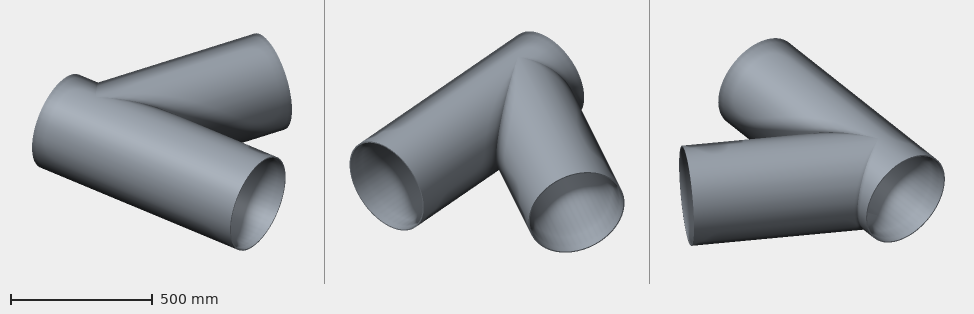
import cadquery as cq
import math

outer_diameter = 355.5
inner_diameter = 346.0
main_length = 838.0
overall_depth = 861.0
branch_angle = 60.0
junction_x = 151.5

outer_radius = outer_diameter / 2
angle = math.radians(branch_angle)
branch_length = (overall_depth - outer_radius - outer_radius * math.cos(angle)) / math.sin(angle)

main_start = cq.Vector(0, 0, 0)
main_direction = cq.Vector(1, 0, 0)
junction = cq.Vector(junction_x, 0, 0)
branch_direction = cq.Vector(math.cos(angle), math.sin(angle), 0)


def pipe_cylinder(diameter, length, start, direction):
    """Solid cylinder along a pipe axis."""
    return cq.Workplane(cq.Solid.makeCylinder(diameter / 2, length, start, direction))


def branched_body(diameter):
    """Main and branch cylinders of one diameter, joined where the axes meet.

    The branch starts square at the junction, and the corner of its start
    that would stand out past the left end of the main pipe is trimmed off.
    """
    main = pipe_cylinder(diameter, main_length, main_start, main_direction)
    branch = pipe_cylinder(diameter, branch_length, junction, branch_direction)
    end_trim = cq.Workplane("YZ").rect(diameter, diameter).extrude(-diameter)
    return main.union(branch.cut(end_trim))


result = branched_body(outer_diameter).cut(branched_body(inner_diameter))